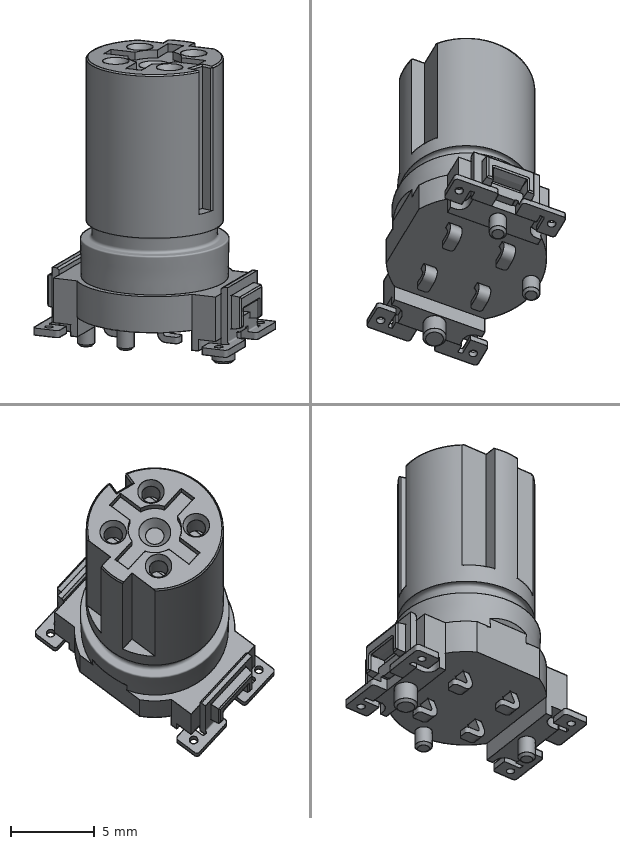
import cadquery as cq
import math

TOP_Z = 17.01
BARREL_Z = 6.9
COLLAR_Z = 5.85
BASE_TOP_Z = 3.47
BASE_BOTTOM_Z = 1.23
PEG_TIP_Z = TOP_Z - 18.35

BARREL_D = 8.2
NECK_D = 7.5
COLLAR_TOP_D = 8.9
COLLAR_BOTTOM_D = 8.8
BASE_D = 9.6
BARREL_EDGE = 0.1
COLLAR_EDGE = 0.1
NECK_FILLET = 0.2
REAR_FLAT_Y = 4.2
REAR_FLAT_TOP_Z = 4.35

BLOCK_X = 5.3
BLOCK_INNER_X = 3.75
BLOCK_HALF_Y = 2.97
POCKET_X = 4.18
POCKET_Y = 2.04
POCKET_HEIGHT = 0.72
POCKET_RADIUS = 0.66
SIDE_PEG_X = 4.5
SMALL_PEG_D = 1.05
LARGE_PEG_D = 1.4
PEG_CHAMFER = 0.17

FRAME_HALF_Y = 1.63
FRAME_BOTTOM_Z = 1.21
FRAME_TOP_Z = 3.28
FRAME_INNER_HALF_Y = 1.06
FRAME_INNER_TOP_Z = 2.35
FRAME_DRAFT = 0.07
FRAME_CHAMFER = 0.1

CODING_FLOOR_Z = 8.11
KEY_WIDTH = 1.69
KEY_ROOT_Y = 3.14
SLOT_ANGLE = -16.8
SLOT_WIDTH = 1.06
SLOT_ROOT = 3.3
SLOT_CHAMFER = 0.11

CROSS_DEPTH = 0.5
CROSS_ARM_WIDTH = 1.01
CROSS_LENGTH = 6.17
CROSS_HUB_D = 3.2
CENTRE_MOUTH_D = 1.9
CENTRE_FLOOR_D = 1.1
CENTRE_DEPTH = 0.5
SOCKET_OFFSET = 1.76
SOCKET_MOUTH_D = 1.58
SOCKET_D = 1.1
SOCKET_MOUTH_DEPTH = 0.4
SOCKET_DEPTH = 1.84

CONTACT_WIDTH = 0.77
CONTACT_THICKNESS = 0.4
CONTACT_FOOT_Z = 0.04
CONTACT_FOOT_REACH = 0.7
CONTACT_BEND_SHIFT = -0.07
CONTACT_BEND_RADIUS = 0.55
CONTACT_TILT = 25
CONTACT_CORNER = 0.2
CONTACT_HEAD_LENGTH = 3.67

SHEET = 0.44
CLIP_OUTER_X = 6.35
PLATE_HALF_Y = 2.17
PLATE_TOP_Z = 3.89
PLATE_CHAMFER = 0.13
GAP_HALF_Y = 0.79
GAP_TOP_Z = 0.72
GAP_RELIEF_WIDTH = 0.24
GAP_RELIEF_HEIGHT = 0.07
TONGUE_TOP_Z = 1.6
FOOT_HALF_Y = 3.65
FOOT_CORNER = 0.2
PAD_INNER_X = 4.66
PAD_Y = 2.45
PAD_HOLE_X = 5.56
PAD_HOLE_Y = 3.05
PAD_HOLE_D = 0.5
BEND_RADIUS = 0.1
SLOT_END_RADIUS = 0.11

SIDES = (-1, 1)
SOCKET_CENTRES = [(sx * SOCKET_OFFSET, sy * SOCKET_OFFSET) for sx in SIDES for sy in SIDES]


def box(x_range, y_range, z_range):
    """Box between pairs of X, Y and Z limits, each given in rising order."""
    size = [high - low for low, high in (x_range, y_range, z_range)]
    corner = (x_range[0], y_range[0], z_range[0])
    return cq.Workplane("XY").box(*size, centered=False).translate(corner)


def cylinder(diameter, bottom_z, top_z, x=0, y=0):
    return cq.Workplane("XY", origin=(x, y, bottom_z)).circle(diameter / 2).extrude(top_z - bottom_z)


def cone(top_d, bottom_d, top_z, height, x=0, y=0):
    """Cone that narrows downward from its top face at top_z."""
    bottom_centre = cq.Vector(x, y, top_z - height)
    return cq.Workplane(cq.Solid.makeCone(bottom_d / 2, top_d / 2, height, bottom_centre))


def peg(diameter, tip_z, root_z, x, y):
    return cylinder(diameter, tip_z, root_z, x, y).faces("<Z").chamfer(PEG_CHAMFER)


def contact(x, y):
    half = CONTACT_THICKNESS / 2
    tilt = math.radians(CONTACT_TILT)
    outer = CONTACT_BEND_RADIUS
    inner = outer - CONTACT_THICKNESS
    middle = outer - half
    bend_x = CONTACT_BEND_SHIFT
    bend_z = CONTACT_FOOT_Z + outer
    head_top_z = TOP_Z - SOCKET_DEPTH
    head_bottom_z = head_top_z - CONTACT_HEAD_LENGTH

    def on_bend(radius, angle):
        """Point on the bend, with the angle measured up from the -X direction."""
        return (bend_x - radius * math.cos(angle), bend_z + radius * math.sin(angle))

    leg_start = on_bend(middle, tilt)
    elbow_z = leg_start[1] - leg_start[0] / math.tan(tilt)
    elbow_step = half * math.tan(tilt / 2)
    mid_angle = (tilt - math.pi / 2) / 2

    tail = (
        cq.Workplane("XZ")
        .moveTo(CONTACT_FOOT_REACH, CONTACT_FOOT_Z)
        .lineTo(bend_x, CONTACT_FOOT_Z)
        .threePointArc(on_bend(outer, mid_angle), on_bend(outer, tilt))
        .lineTo(-half, elbow_z + elbow_step)
        .lineTo(-half, head_bottom_z)
        .lineTo(half, head_bottom_z)
        .lineTo(half, elbow_z - elbow_step)
        .lineTo(*on_bend(inner, tilt))
        .threePointArc(on_bend(inner, mid_angle), (bend_x, CONTACT_FOOT_Z + CONTACT_THICKNESS))
        .lineTo(CONTACT_FOOT_REACH, CONTACT_FOOT_Z + CONTACT_THICKNESS)
        .close()
        .extrude(CONTACT_WIDTH / 2, both=True)
        .edges("|Z and >X")
        .fillet(CONTACT_CORNER)
    )
    flats = box(
        (-SOCKET_D, SOCKET_D),
        (-CONTACT_WIDTH / 2, CONTACT_WIDTH / 2),
        (head_bottom_z, head_top_z),
    )
    head = cylinder(SOCKET_D, head_bottom_z, head_top_z).intersect(flats)
    return tail.union(head).translate((x, y, 0))


def clip_feet():
    outer_x = -CLIP_OUTER_X
    plate_outer_x = -BLOCK_X - SHEET
    slot_end_x = plate_outer_x - BEND_RADIUS
    foot = (
        cq.Workplane("XY")
        .moveTo(outer_x, GAP_HALF_Y)
        .lineTo(-BLOCK_X, GAP_HALF_Y)
        .lineTo(-BLOCK_X, PLATE_HALF_Y)
        .lineTo(slot_end_x, PLATE_HALF_Y)
        .lineTo(slot_end_x, PAD_Y)
        .lineTo(-PAD_INNER_X, PAD_Y)
        .lineTo(-PAD_INNER_X, FOOT_HALF_Y)
        .lineTo(outer_x, FOOT_HALF_Y)
        .close()
        .extrude(SHEET)
    )
    foot = foot.edges("|Z").edges("<X or >Y").fillet(FOOT_CORNER)
    slot_corner = cq.selectors.NearestToPointSelector((slot_end_x, PAD_Y, SHEET / 2))
    foot = foot.edges(slot_corner).fillet(SLOT_END_RADIUS)
    foot = foot.cut(cylinder(PAD_HOLE_D, 0, SHEET, -PAD_HOLE_X, PAD_HOLE_Y))
    bend = (
        cq.Workplane("XZ", origin=(0, PLATE_HALF_Y, 0))
        .moveTo(slot_end_x, SHEET)
        .radiusArc((plate_outer_x, SHEET + BEND_RADIUS), -BEND_RADIUS)
        .lineTo(plate_outer_x, SHEET)
        .close()
        .extrude(PLATE_HALF_Y - GAP_HALF_Y)
    )
    foot = foot.union(bend)
    return foot.union(foot.mirror("XZ"))


def clip_plate():
    plate_x = (-BLOCK_X - SHEET, -BLOCK_X)
    plate = box(plate_x, (-PLATE_HALF_Y, PLATE_HALF_Y), (SHEET, PLATE_TOP_Z))
    plate = plate.edges(">X and >Z").chamfer(PLATE_CHAMFER)
    return plate.cut(plate_window(plate_x)).cut(foot_gap(plate_x))


def plate_window(plate_x):
    """Window for the retaining frame, with a tongue that stands between the legs of the frame."""
    window = box(plate_x, (-FRAME_HALF_Y, FRAME_HALF_Y), (FRAME_BOTTOM_Z, FRAME_TOP_Z))
    tongue = box(plate_x, (-FRAME_INNER_HALF_Y, FRAME_INNER_HALF_Y), (FRAME_BOTTOM_Z, TONGUE_TOP_Z))
    return window.cut(tongue)


def foot_gap(plate_x):
    """Gap between the two feet, with a relief notch in each upper corner."""
    gap = box(plate_x, (-GAP_HALF_Y, GAP_HALF_Y), (0, GAP_TOP_Z))
    for side in SIDES:
        y_limits = sorted((side * GAP_HALF_Y, side * (GAP_HALF_Y - GAP_RELIEF_WIDTH)))
        gap = gap.union(box(plate_x, y_limits, (0, GAP_TOP_Z + GAP_RELIEF_HEIGHT)))
    return gap


def clip(turn):
    return clip_plate().union(clip_feet()).rotate((0, 0, 0), (0, 0, 1), turn)


def barrel_and_neck():
    barrel = cylinder(BARREL_D, BARREL_Z, TOP_Z).faces(">Z").chamfer(BARREL_EDGE)
    neck_r = NECK_D / 2
    foot_r = neck_r + NECK_FILLET
    neck = (
        cq.Workplane("XZ")
        .moveTo(0, COLLAR_Z)
        .lineTo(foot_r, COLLAR_Z)
        .radiusArc((neck_r, COLLAR_Z + NECK_FILLET), NECK_FILLET)
        .lineTo(neck_r, BARREL_Z - NECK_FILLET)
        .radiusArc((foot_r, BARREL_Z), NECK_FILLET)
        .lineTo(0, BARREL_Z)
        .close()
        .revolve(360, (0, 0, 0), (0, 1, 0))
    )
    return barrel.union(neck)


def collar_and_base():
    collar = (
        cone(COLLAR_TOP_D, COLLAR_BOTTOM_D, COLLAR_Z, COLLAR_Z - BASE_TOP_Z)
        .faces(">Z")
        .edges()
        .fillet(COLLAR_EDGE)
    )
    base = cylinder(BASE_D, BASE_BOTTOM_Z, BASE_TOP_Z)
    slope = BASE_D / 2 - REAR_FLAT_Y
    rear_cut = (
        cq.Workplane("YZ")
        .moveTo(REAR_FLAT_Y, 0)
        .lineTo(REAR_FLAT_Y + slope, 0)
        .lineTo(REAR_FLAT_Y + slope, REAR_FLAT_TOP_Z + slope - (COLLAR_TOP_D / 2 - REAR_FLAT_Y))
        .lineTo(REAR_FLAT_Y, REAR_FLAT_TOP_Z - (COLLAR_TOP_D / 2 - REAR_FLAT_Y))
        .close()
        .extrude(BASE_D / 2, both=True)
    )
    return collar.union(base).cut(rear_cut)


def frame_outline(x):
    """U-shaped outline, open at its bottom, on the plane at the given X."""
    return (
        cq.Workplane("YZ", origin=(x, 0, 0))
        .moveTo(-FRAME_HALF_Y, FRAME_BOTTOM_Z)
        .lineTo(-FRAME_HALF_Y, FRAME_TOP_Z)
        .lineTo(FRAME_HALF_Y, FRAME_TOP_Z)
        .lineTo(FRAME_HALF_Y, FRAME_BOTTOM_Z)
        .lineTo(FRAME_INNER_HALF_Y, FRAME_BOTTOM_Z)
        .lineTo(FRAME_INNER_HALF_Y, FRAME_INNER_TOP_Z)
        .lineTo(-FRAME_INNER_HALF_Y, FRAME_INNER_TOP_Z)
        .lineTo(-FRAME_INNER_HALF_Y, FRAME_BOTTOM_Z)
        .close()
    )


def retaining_frame():
    """Frame on +X: straight through the clip plate, then drafted and chamfered at its end."""
    plate_outer_x = BLOCK_X + SHEET
    overhang = CLIP_OUTER_X - plate_outer_x
    draft_angle = math.degrees(math.atan2(FRAME_DRAFT, overhang))
    root = frame_outline(BLOCK_X).extrude(SHEET)
    end = frame_outline(plate_outer_x).extrude(overhang, taper=draft_angle)
    return root.union(end.faces(">X").chamfer(FRAME_CHAMFER))


def side_block(side):
    """Block on the +X (side = 1) or -X (side = -1) flank, with pockets above the solder pads."""
    block = box((0, BLOCK_X), (-BLOCK_HALF_Y, BLOCK_HALF_Y), (BASE_BOTTOM_Z, BASE_TOP_Z))
    leg = box((BLOCK_INNER_X, BLOCK_X), (-BLOCK_HALF_Y, BLOCK_HALF_Y), (0, BASE_BOTTOM_Z))
    block = block.union(leg)
    for y_side in SIDES:
        y_limits = sorted((y_side * POCKET_Y, y_side * FOOT_HALF_Y))
        pocket = box((POCKET_X, CLIP_OUTER_X), y_limits, (0, POCKET_HEIGHT))
        inner_edge = pocket.edges("|Z").edges("<X").edges("<Y" if y_side > 0 else ">Y")
        block = block.cut(inner_edge.fillet(POCKET_RADIUS))
    block = block.union(retaining_frame())
    return block if side > 0 else block.mirror("YZ")


def key_segments():
    """Two segments cut away beside the rear key."""
    cuts = cq.Workplane("XY")
    for side in SIDES:
        x_limits = sorted((side * KEY_WIDTH / 2, side * BARREL_D / 2))
        cuts = cuts.add(box(x_limits, (KEY_ROOT_Y, BARREL_D), (CODING_FLOOR_Z, TOP_Z)))
    return cuts.combine()


def coding_slot():
    """Slot in the flank of the barrel, chamfered at its top mouth and along its outer corners."""
    half = SLOT_WIDTH / 2
    slot_height = TOP_Z - CODING_FLOOR_Z
    corner_x = math.sqrt((BARREL_D / 2) ** 2 - half**2)
    flare_x = corner_x - SLOT_CHAMFER
    slot = (
        cq.Workplane("XY", origin=(0, 0, CODING_FLOOR_Z))
        .moveTo(SLOT_ROOT, -half)
        .lineTo(flare_x, -half)
        .lineTo(flare_x + half, -SLOT_WIDTH)
        .lineTo(flare_x + half, SLOT_WIDTH)
        .lineTo(flare_x, half)
        .lineTo(SLOT_ROOT, half)
        .close()
        .extrude(slot_height)
    )
    mouth = box(
        (SLOT_ROOT - SLOT_CHAMFER, BARREL_D),
        (-half - SLOT_CHAMFER, half + SLOT_CHAMFER),
        (TOP_Z - SLOT_CHAMFER, TOP_Z + SLOT_CHAMFER),
    )
    mouth = mouth.faces("<Z").edges("<X or <Y or >Y").chamfer(SLOT_CHAMFER)
    return slot.union(mouth).rotate((0, 0, 0), (0, 0, 1), SLOT_ANGLE)


def mating_face_cuts():
    """Cross-shaped recess with a blind centre hole, and the four socket holes."""
    floor_z = TOP_Z - CROSS_DEPTH
    reach = CROSS_LENGTH / 2
    arm = CROSS_ARM_WIDTH / 2
    cuts = (
        cylinder(CROSS_HUB_D, floor_z, TOP_Z)
        .union(box((-reach, reach), (-arm, arm), (floor_z, TOP_Z)))
        .union(box((-arm, arm), (-reach, reach), (floor_z, TOP_Z)))
        .union(cone(CENTRE_MOUTH_D, CENTRE_FLOOR_D, floor_z, CENTRE_DEPTH))
    )
    for x, y in SOCKET_CENTRES:
        cuts = cuts.union(cone(SOCKET_MOUTH_D, SOCKET_D, TOP_Z, SOCKET_MOUTH_DEPTH, x, y))
        cuts = cuts.union(cylinder(SOCKET_D, TOP_Z - SOCKET_DEPTH, TOP_Z, x, y))
    return cuts


def build_housing(inserted_contacts):
    body = barrel_and_neck().union(collar_and_base())
    for side in SIDES:
        body = body.union(side_block(side))
    body = body.union(peg(SMALL_PEG_D, PEG_TIP_Z, 0, -SIDE_PEG_X, 0))
    body = body.union(peg(LARGE_PEG_D, PEG_TIP_Z, 0, SIDE_PEG_X, 0))
    front_peg_y = -(BASE_D - SMALL_PEG_D) / 2
    body = body.union(peg(SMALL_PEG_D, 0, BASE_BOTTOM_Z, 0, front_peg_y))
    body = body.cut(key_segments()).cut(coding_slot()).cut(mating_face_cuts())
    for inserted in inserted_contacts:
        body = body.cut(inserted)
    return body


contacts = [contact(x, y) for x, y in SOCKET_CENTRES]
clips = [clip(turn) for turn in (0, 180)]
housing = build_housing(contacts)

result = cq.Compound.makeCompound(
    [housing.val(), *[c.val() for c in clips], *[c.val() for c in contacts]]
)